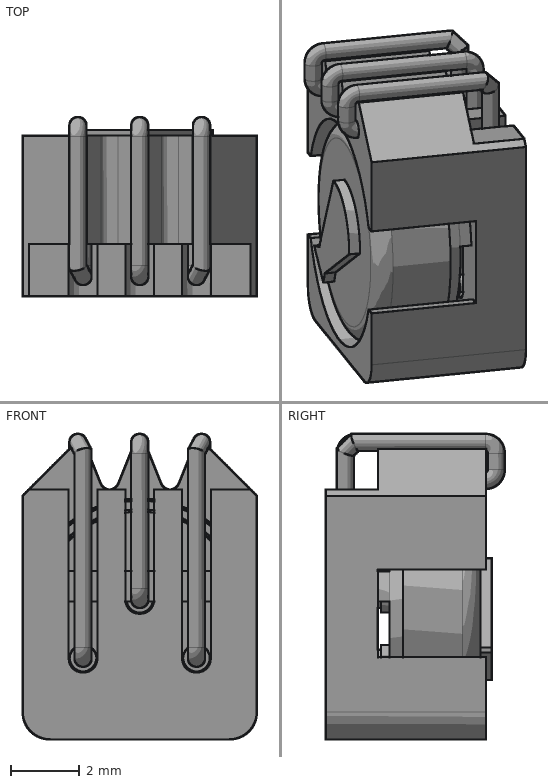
import cadquery as cq
import math

total_depth = 5.25
total_height = 8.95
body_width = 6.86
body_depth = 4.70
body_height = 8.50
corner_radius = 0.80
shoulder_height = 7.13
plate_depth = 1.53
plate_height = 7.32

window_bottom = 2.41
window_top = 4.97

notch_x = 0.885
notch_arc_height = 7.48
notch_half_width = 0.25
notch_slope = 0.40

wire_radius = 0.254
bend_radius = 0.32
wire_y = 0.58
wire_top_z = total_height - wire_radius
wire_rear_y = total_depth - wire_radius
wire_rear_end_z = 7.58
wire_anchor_length = 0.30
outer_lead_x = 1.66
outer_lead_top_x = 1.81
joggle_length = 0.28
outer_pin_z = 2.38
middle_pin_z = 4.10
slot_radius = 0.42
bushing_radius = 0.39
bushing_front_y = 1.62

rotor_z = (window_bottom + window_top) / 2
cavity_radius = 3.36
rotor_radius = 3.31
hub_front_radius = 2.98
hub_rear_radius = 3.05
hub_front_y = 1.87
rotor_step_y = 2.26
rotor_rear_y = 4.54
rotor_round = 0.53
band_bottom = 4.04
band_top = 4.93

pointer_rear_y = 4.87
pointer_radius = 1.62
pointer_tail_drop = 0.07
pointer_bottom = 1.74
pointer_right = 2.14
pointer_barb_x = 1.00
pointer_barb_drop = 1.61
pointer_tip_x = 1.15

lead_places = [
    (-outer_lead_x, -outer_lead_top_x, outer_pin_z),
    (0, 0, middle_pin_z),
    (outer_lead_x, outer_lead_top_x, outer_pin_z),
]


def front_plane(y):
    """XZ sketch plane at depth y; extruding from it runs toward +Y when negative."""
    return cq.Workplane("XZ", origin=(0, y, 0))


def disc(radius, x, z, y_start, y_end):
    """Cylinder along Y between two depths."""
    return front_plane(y_start).center(x, z).circle(radius).extrude(y_start - y_end)


def block(x_size, x_middle, y_start, y_end, z_start, z_end):
    """Box given by its X size and middle and its Y and Z limits."""
    return (
        cq.Workplane("XY")
        .box(x_size, y_end - y_start, z_end - z_start, centered=(True, False, False))
        .translate((x_middle, y_start, z_start))
    )


def notch_cutter(x):
    """V notch with a rounded floor, running the whole depth behind the plate."""
    top_half_width = notch_half_width + notch_slope * (total_height - notch_arc_height)
    return (
        front_plane(0)
        .moveTo(x - top_half_width, total_height)
        .lineTo(x - notch_half_width, notch_arc_height)
        .threePointArc((x, plate_height), (x + notch_half_width, notch_arc_height))
        .lineTo(x + top_half_width, total_height)
        .close()
        .extrude(-body_depth)
    )


def make_housing():
    half_width = body_width / 2
    ridge_half_width = half_width - (body_height - shoulder_height)
    housing = (
        front_plane(0)
        .moveTo(-half_width, 0)
        .lineTo(half_width, 0)
        .lineTo(half_width, shoulder_height)
        .lineTo(ridge_half_width, body_height)
        .lineTo(-ridge_half_width, body_height)
        .lineTo(-half_width, shoulder_height)
        .close()
        .extrude(-body_depth)
        .edges("|Y and <Z")
        .fillet(corner_radius)
    )
    housing = housing.cut(block(body_width, 0, 0, plate_depth, plate_height, body_height))
    for side in (-1, 1):
        housing = housing.cut(notch_cutter(side * notch_x))
    housing = housing.cut(disc(cavity_radius, 0, rotor_z, plate_depth, body_depth))
    housing = housing.cut(block(body_width, 0, plate_depth, body_depth, window_bottom, window_top))
    for x, _, pin_z in lead_places:
        slot = disc(slot_radius, x, pin_z, 0, plate_depth)
        slot = slot.union(block(2 * slot_radius, x, 0, plate_depth, pin_z, plate_height))
        housing = housing.cut(slot)
    return housing


def make_rotor():
    rotor = disc(rotor_radius, 0, rotor_z, rotor_step_y, rotor_rear_y)
    rotor = rotor.faces(">Y").edges().fillet(rotor_round)
    hub = cq.Solid.makeCone(
        hub_front_radius,
        hub_rear_radius,
        rotor_step_y - hub_front_y,
        cq.Vector(0, hub_front_y, rotor_z),
        cq.Vector(0, 1, 0),
    )
    rotor = rotor.union(cq.Workplane(hub))
    band = disc(hub_front_radius, 0, rotor_z, plate_depth, hub_front_y).intersect(
        block(body_width, 0, plate_depth, hub_front_y, band_bottom, band_top)
    )
    return rotor.union(band).union(make_pointer())


def make_pointer():
    """Arrow with a round tail at the upper left and a blunt tip at the lower right."""
    tail = pointer_radius * math.sqrt(0.5)
    return (
        front_plane(rotor_rear_y)
        .center(0, rotor_z)
        .moveTo(pointer_tail_drop, pointer_radius)
        .threePointArc((-tail, tail), (-pointer_radius, -pointer_tail_drop))
        .lineTo(pointer_barb_x, -pointer_barb_drop)
        .lineTo(pointer_tip_x, pointer_bottom - rotor_z)
        .lineTo(pointer_right, -pointer_tip_x)
        .lineTo(pointer_barb_drop, -pointer_barb_x)
        .close()
        .extrude(rotor_rear_y - pointer_rear_y)
    )


def sweep_wire(path, start, direction):
    """Round wire along a path that leaves start in the given direction."""
    section = cq.Workplane(cq.Plane(origin=start, normal=direction)).circle(wire_radius)
    return section.sweep(path, transition="right")


def make_lead(x, top_x, pin_z):
    """Bent lead: rear hook, run along the ridge, drop down the slot, pin into the rotor."""
    bend_mid = bend_radius * (1 - math.sqrt(0.5))
    hook_end_y = wire_rear_y - bend_radius
    hook_start = (top_x, hook_end_y - wire_anchor_length, wire_rear_end_z)
    joggled = top_x != x
    top_front_y = wire_y + (joggle_length if joggled else bend_radius)
    hook_path = (
        cq.Workplane("YZ", origin=(top_x, 0, 0))
        .moveTo(hook_start[1], wire_rear_end_z)
        .lineTo(hook_end_y, wire_rear_end_z)
        .threePointArc(
            (wire_rear_y - bend_mid, wire_rear_end_z + bend_mid),
            (wire_rear_y, wire_rear_end_z + bend_radius),
        )
        .lineTo(wire_rear_y, wire_top_z - bend_radius)
        .threePointArc((wire_rear_y - bend_mid, wire_top_z - bend_mid), (hook_end_y, wire_top_z))
        .lineTo(body_depth / 2, wire_top_z)
    )
    hook = sweep_wire(hook_path, hook_start, (0, 1, 0))

    top_start = (top_x, body_depth / 2, wire_top_z)
    drop_top_z = wire_top_z - (joggle_length if joggled else bend_radius)
    drop_top = (x, wire_y, drop_top_z)
    drop_bottom = (x, wire_y, pin_z + bend_radius)
    if joggled:
        corner_points = [top_start, (top_x, top_front_y, wire_top_z), drop_top, drop_bottom]
        drop_path = cq.Workplane("XY").polyline(corner_points)
    else:
        drop_path = (
            cq.Workplane("YZ")
            .moveTo(body_depth / 2, wire_top_z)
            .lineTo(top_front_y, wire_top_z)
            .threePointArc((wire_y + bend_mid, wire_top_z - bend_mid), (wire_y, drop_top_z))
            .lineTo(wire_y, pin_z + bend_radius)
        )
    drop = sweep_wire(drop_path, top_start, (0, -1, 0))

    pin_path = (
        cq.Workplane("YZ", origin=(x, 0, 0))
        .moveTo(wire_y, pin_z + bend_radius)
        .threePointArc((wire_y + bend_mid, pin_z + bend_mid), (wire_y + bend_radius, pin_z))
        .lineTo(hub_front_y, pin_z)
    )
    pin = sweep_wire(pin_path, drop_bottom, (0, 0, -1))
    bushing = disc(bushing_radius, x, pin_z, bushing_front_y, hub_front_y)
    return hook.union(drop).union(pin).union(bushing)


result = make_housing().union(make_rotor())
for lead_x, lead_top_x, lead_pin_z in lead_places:
    result = result.union(make_lead(lead_x, lead_top_x, lead_pin_z))